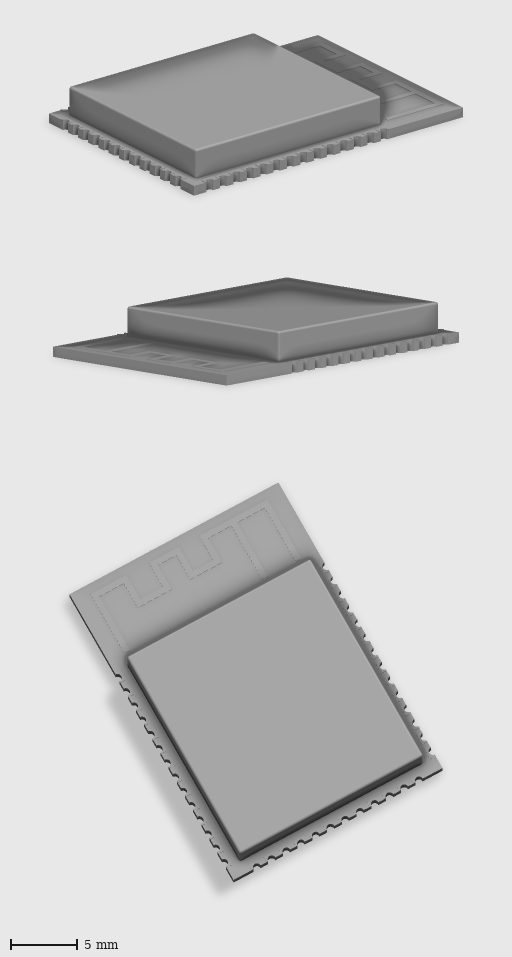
import cadquery as cq

board_width = 18.0
board_length = 25.5
board_thickness = 0.8
copper_thickness = 0.05
copper_top = board_thickness + copper_thickness

total_height = 3.1
can_width = 15.8
can_length = 17.57
can_front_gap = 1.02
can_edge_radius = 0.18

pad_width = 0.9
pad_depth = 0.45
notch_radius = 0.3
side_pad_count = 14
front_pad_count = 12
front_pad_span = 13.97
pad_pitch = front_pad_span / (front_pad_count - 1)
first_side_pad_y = 1.5
first_front_pad_x = (board_width - front_pad_span) / 2

trace_width = 0.48
trace_back_gap = 0.76
trace_back = board_length - trace_back_gap
trace_left = 1.38
trace_right = board_width - trace_left
leg_length = 5.28
meander_depth = 2.65
inner_leg_right = 13.75
first_front_run = (3.98, 6.9)
second_front_run = (8.52, 11.25)


def box(left, right, front, back, bottom, top):
    """Axis-aligned block between the given limits."""
    size = (right - left, back - front, top - bottom)
    return cq.Workplane("XY").box(*size, centered=False).translate((left, front, bottom))


def trace(left, right, front, back):
    """Rectangle of copper on the board's upper face."""
    return box(left, right, front, back, board_thickness, copper_top)


side_pad_ys = [first_side_pad_y + i * pad_pitch for i in range(side_pad_count)]
front_pad_xs = [first_front_pad_x + i * pad_pitch for i in range(front_pad_count)]
half_pad = pad_width / 2

result = box(0, board_width, 0, board_length, 0, board_thickness)

for y in side_pad_ys:
    result = result.union(trace(0, pad_depth, y - half_pad, y + half_pad))
    result = result.union(trace(board_width - pad_depth, board_width, y - half_pad, y + half_pad))
for x in front_pad_xs:
    result = result.union(trace(x - half_pad, x + half_pad, 0, pad_depth))

notch_centers = [(x, 0) for x in front_pad_xs]
for y in side_pad_ys:
    notch_centers += [(0, y), (board_width, y)]
notches = cq.Workplane("XY").pushPoints(notch_centers).circle(notch_radius).extrude(copper_top)
result = result.cut(notches)

leg_front = trace_back - leg_length
for right in (trace_left + trace_width, inner_leg_right, trace_right):
    result = result.union(trace(right - trace_width, right, leg_front, trace_back))

meander_front = trace_back - meander_depth
for left, right in (first_front_run, second_front_run):
    result = result.union(trace(left, right, meander_front, meander_front + trace_width))
    for riser_left in (left, right - trace_width):
        result = result.union(trace(riser_left, riser_left + trace_width, meander_front, trace_back))

back_runs = (
    (trace_left, first_front_run[0] + trace_width),
    (first_front_run[1] - trace_width, second_front_run[0] + trace_width),
    (second_front_run[1] - trace_width, trace_right),
)
for left, right in back_runs:
    result = result.union(trace(left, right, trace_back - trace_width, trace_back))

can_left = (board_width - can_width) / 2
can = box(
    can_left, can_left + can_width,
    can_front_gap, can_front_gap + can_length,
    board_thickness, total_height,
)
can = can.edges("|Z or >Z").fillet(can_edge_radius)
result = result.union(can)